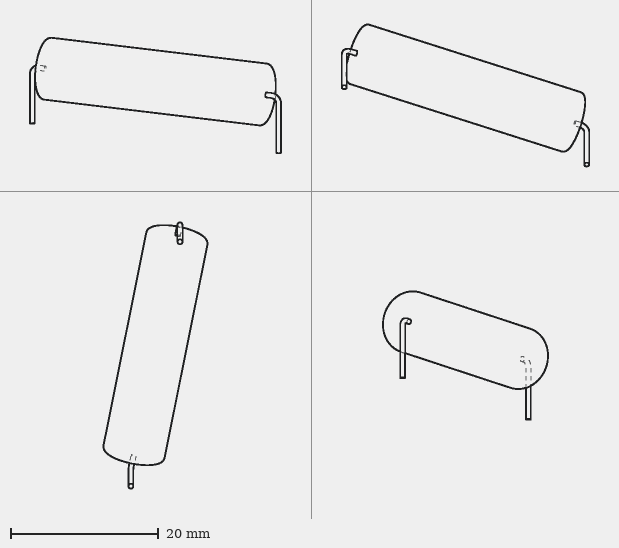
import cadquery as cq
import math

overall_length = 36.25
body_diameter = 8.5
body_length = 31.98
edge_radius = 0.5
lead_diameter = 0.7
bend_radius = 1.0
lead_drop = 8.05

body_end_x = body_length / 2
lead_x = (overall_length - lead_diameter) / 2
bend_start_x = lead_x - bend_radius


def make_body():
    """Cylinder along X with rounded rims, centred on the origin."""
    return (
        cq.Workplane("YZ", origin=(-body_end_x, 0, 0))
        .circle(body_diameter / 2)
        .extrude(body_length)
        .edges()
        .fillet(edge_radius)
    )


def make_lead(side):
    """Round wire leaving one end face and bending down; side is -1 or +1 along X."""
    bend_middle = bend_radius * math.sin(math.radians(45))
    path = (
        cq.Workplane("XZ")
        .moveTo(side * body_end_x, 0)
        .lineTo(side * bend_start_x, 0)
        .threePointArc(
            (side * (bend_start_x + bend_middle), bend_middle - bend_radius),
            (side * lead_x, -bend_radius),
        )
        .lineTo(side * lead_x, -lead_drop)
    )
    return (
        cq.Workplane("YZ", origin=(side * body_end_x, 0, 0))
        .circle(lead_diameter / 2)
        .sweep(path)
    )


body = make_body()
leads = [make_lead(side) for side in (-1, 1)]

result = cq.Compound.makeCompound([body.val(), *[lead.val() for lead in leads]])